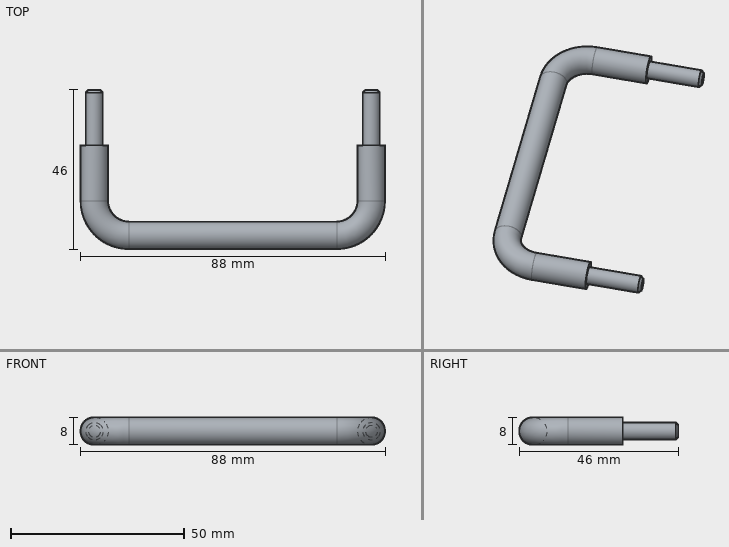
import cadquery as cq

overall_width = 88.0
overall_depth = 46.0
bar_diameter = 8.0
bend_radius = 10.0
stud_diameter = 5.0
stud_length = 16.0
stud_chamfer = 0.8

leg_x = (overall_width - bar_diameter) / 2
grip_half_length = leg_x - bend_radius
shoulder_y = overall_depth - bar_diameter / 2 - stud_length


def make_bar():
    """Sweep the round bar along one leg, the grip and the other leg."""
    path = (
        cq.Workplane("XY")
        .moveTo(-leg_x, shoulder_y)
        .lineTo(-leg_x, bend_radius)
        .radiusArc((-grip_half_length, 0), -bend_radius)
        .lineTo(grip_half_length, 0)
        .radiusArc((leg_x, bend_radius), -bend_radius)
        .lineTo(leg_x, shoulder_y)
    )
    profile = cq.Workplane("XZ", origin=(-leg_x, shoulder_y, 0)).circle(bar_diameter / 2)
    return profile.sweep(path)


def make_stud(x):
    """Stud pointing along +Y from the end of a leg, with a chamfered tip."""
    return (
        cq.Workplane("XZ", origin=(x, shoulder_y, 0))
        .circle(stud_diameter / 2)
        .extrude(-stud_length)
        .faces(">Y")
        .chamfer(stud_chamfer)
    )


result = make_bar()
for stud_x in (-leg_x, leg_x):
    result = result.union(make_stud(stud_x))